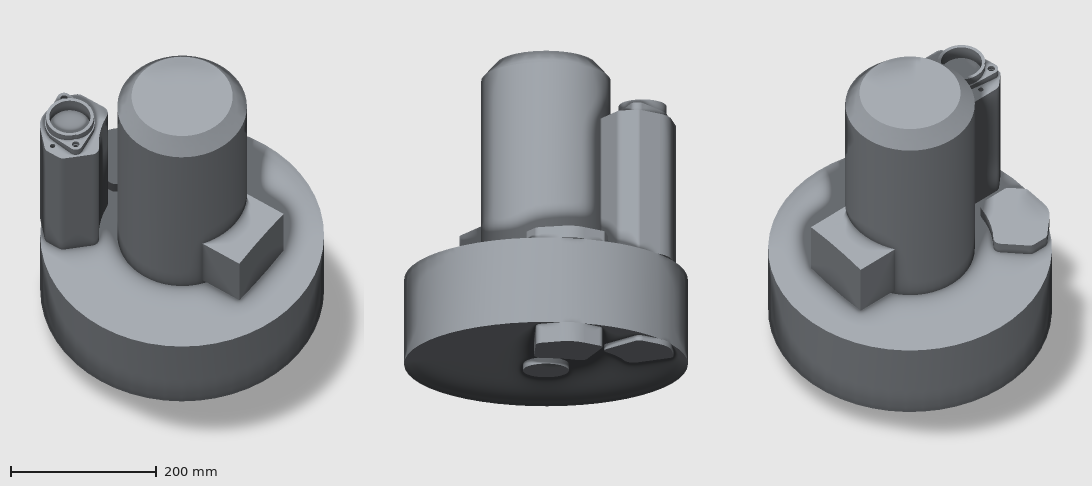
import cadquery as cq
import math

housing_height = 121.5
blank_top = 138.5
pump_top = 323.5
web_top = 330.5
lug_top = 334.5
ring_top = 344.5
motor_top = 429.0

housing_radius = 195.0
motor_radius = 89.0
motor_top_radius = 69.5
motor_cone_height = 22.5
hub_radius = 31.5
hub_length = 9.0

box_end = 133.0
box_width = 106.5
box_bottom = 128.8
box_top = 209.5
box_crown = 2.7

lobe_left = -186.0
lobe_near = 8.0
lobe_far = 116.0
lobe_left_near = 28.5
lobe_left_far = 78.5
lobe_near_left = -165.7
lobe_far_left = -148.5
lobe_far_right = -121.5
lobe_inner_radius = 114.5
lobe_left_near_rounding = 5.5
lobe_left_far_rounding = 35.5
lobe_far_left_rounding = 10.0
lobe_far_right_rounding = 10.5
lobe_tip_rounding = 10.5
lobe_near_right_rounding = 12.0
lobe_near_left_rounding = 11.5

cover_left = -184.5
cover_left_near = 28.8
cover_left_far = 81.0
cover_near_right_x = -114.0
cover_near_right_y = 13.5
cover_far_x = -145.0
cover_far_y = 114.5
cover_tip_x = -85.0
cover_tip_y = 78.0
cover_left_near_rounding = 9.0
cover_left_far_rounding = 41.0
cover_far_rounding = 10.5
cover_tip_rounding = 13.2
cover_near_right_rounding = 9.0
front_cover_depth = 7.8
rear_cover_depth = 27.5

port_x = -144.5
port_y = -62.5
port_angle = 136
ring_radius = 33.0
ring_bore_radius = 28.5
web_radius = 34.2
bolt_distance = 41.0
lug_radius = 9.5
pad_half_width = 8.5
scallop_radius = 9.0
bolt_hole_radius = 3.0
counterbore_radius = 5.0
counterbore_depth = 5.5
pin_hole_radius = 3.5
pin_hole_distance = 41.5
pin_hole_depth = 9.0


def cylinder(radius, bottom, top, x=0, y=0):
    """Upright cylinder between two levels."""
    return cq.Workplane("XY", origin=(x, y, bottom)).circle(radius).extrude(top - bottom)


def lobe(corners, inner_radius, roundings, bottom, top):
    """Prism on the +Y side, hollowed towards the motor by a cylinder about the motor axis.

    Each rounding is a point and a radius; it rounds the upright edge nearest to the point.
    """
    prism = cq.Workplane("XY", origin=(0, 0, bottom)).polyline(corners).close().extrude(top - bottom)
    prism = prism.cut(cylinder(inner_radius, bottom, top))
    middle = (bottom + top) / 2
    for (x, y), radius in roundings:
        prism = prism.edges(cq.selectors.NearestToPointSelector((x, y, middle))).fillet(radius)
    return prism


def pump_lobe(top):
    """Lobe standing on the housing, with a 45 degree side running down to the inner cylinder."""
    left_near = (lobe_left, lobe_left_near)
    left_far = (lobe_left, lobe_left_far)
    far_left = (lobe_far_left, lobe_far)
    far_right = (lobe_far_right, lobe_far)
    near_left = (lobe_near_left, lobe_near)

    diagonal_sum = lobe_far_right + lobe_far
    diagonal_end = (diagonal_sum - lobe_near, lobe_near)
    near_right = (-math.sqrt(lobe_inner_radius**2 - lobe_near**2), lobe_near)
    tip_y = (diagonal_sum + math.sqrt(2 * lobe_inner_radius**2 - diagonal_sum**2)) / 2
    tip = (diagonal_sum - tip_y, tip_y)

    corners = [left_near, left_far, far_left, far_right, diagonal_end, near_left]
    roundings = [
        (left_near, lobe_left_near_rounding),
        (left_far, lobe_left_far_rounding),
        (far_left, lobe_far_left_rounding),
        (far_right, lobe_far_right_rounding),
        (tip, lobe_tip_rounding),
        (near_right, lobe_near_right_rounding),
        (near_left, lobe_near_left_rounding),
    ]
    return lobe(corners, lobe_inner_radius, roundings, housing_height, top)


def cover(depth):
    """Cover hanging below the housing."""
    left_near = (cover_left, cover_left_near)
    left_far = (cover_left, cover_left_far)
    far = (cover_far_x, cover_far_y)
    tip = (cover_tip_x, cover_tip_y)
    near_right = (cover_near_right_x, cover_near_right_y)
    inner_radius = math.hypot(*tip)
    overshoot = 0.3
    beyond_tip = (
        cover_tip_x + overshoot * (cover_tip_x - cover_far_x),
        cover_tip_y + overshoot * (cover_tip_y - cover_far_y),
    )

    corners = [left_near, left_far, far, beyond_tip, near_right]
    roundings = [
        (left_near, cover_left_near_rounding),
        (left_far, cover_left_far_rounding),
        (far, cover_far_rounding),
        (tip, cover_tip_rounding),
        (near_right, cover_near_right_rounding),
    ]
    return lobe(corners, inner_radius, roundings, -depth, 0)


def motor():
    profile = [
        (0, housing_height),
        (motor_radius, housing_height),
        (motor_radius, motor_top - motor_cone_height),
        (motor_top_radius, motor_top),
        (0, motor_top),
    ]
    return cq.Workplane("XZ").polyline(profile).close().revolve(360, (0, 0), (0, 1))


def terminal_box():
    half_width = box_width / 2
    return (
        cq.Workplane("YZ")
        .moveTo(-half_width, box_bottom)
        .threePointArc((0, box_bottom - box_crown), (half_width, box_bottom))
        .lineTo(half_width, box_top)
        .threePointArc((0, box_top + box_crown), (-half_width, box_top))
        .close()
        .extrude(box_end)
    )


def flange_half():
    """Half of the flange outline, from the ring out to one lug, with straight tangent sides."""
    tangent_angle = math.acos((web_radius - lug_radius) / bolt_distance)
    along = math.cos(tangent_angle)
    across = math.sin(tangent_angle)
    web_point = (web_radius * along, web_radius * across)
    lug_point = (bolt_distance + lug_radius * along, lug_radius * across)
    return (
        cq.Workplane("XY", origin=(0, 0, pump_top))
        .moveTo(web_point[0], -web_point[1])
        .lineTo(lug_point[0], -lug_point[1])
        .threePointArc((bolt_distance + lug_radius, 0), lug_point)
        .lineTo(*web_point)
        .threePointArc((-web_radius, 0), (web_point[0], -web_point[1]))
        .close()
        .extrude(lug_top - pump_top)
    )


def port():
    """Ring on a two-bolt flange, built with its bolts along X and then turned into place."""
    half_length = bolt_distance + lug_radius
    ridge = (
        cq.Workplane("YZ", origin=(-half_length, 0, 0))
        .polyline([
            (-web_radius, pump_top),
            (-web_radius, web_top),
            (-pad_half_width, lug_top),
            (pad_half_width, lug_top),
            (web_radius, web_top),
            (web_radius, pump_top),
        ])
        .close()
        .extrude(2 * half_length)
    )
    half = flange_half()
    flange = half.union(half.rotate((0, 0, 0), (0, 0, 1), 180)).intersect(ridge)

    body = flange.union(cylinder(ring_radius, pump_top, ring_top))
    body = body.cut(cylinder(ring_bore_radius, pump_top, ring_top))
    for x in (-bolt_distance, bolt_distance):
        body = body.cut(cylinder(scallop_radius, lug_top, ring_top, x))
        body = body.cut(cylinder(bolt_hole_radius, pump_top, lug_top, x))
        body = body.cut(cylinder(counterbore_radius, lug_top - counterbore_depth, lug_top, x))
    return body.rotate((0, 0, 0), (0, 0, 1), port_angle).translate((port_x, port_y, 0))


def mirrored(body):
    """The same body on the -Y side."""
    return body.mirror("XZ")


pump = mirrored(pump_lobe(pump_top))
for offset in (-pin_hole_distance, pin_hole_distance):
    pin_hole = cylinder(pin_hole_radius, pump_top - pin_hole_depth, pump_top, port_x, port_y + offset)
    pump = pump.cut(pin_hole)

result = (
    cylinder(housing_radius, 0, housing_height)
    .union(motor())
    .union(terminal_box())
    .union(cylinder(hub_radius, -hub_length, 0))
    .union(pump)
    .union(port())
    .union(pump_lobe(blank_top))
    .union(cover(rear_cover_depth))
    .union(mirrored(cover(front_cover_depth)))
)